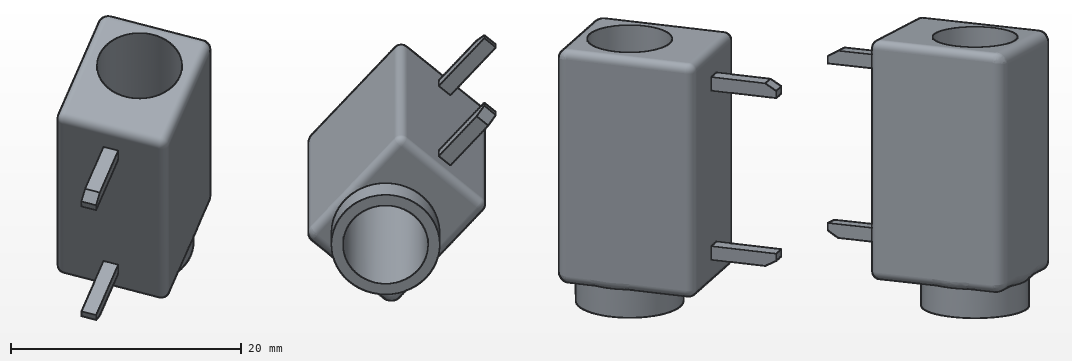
import cadquery as cq

total_height = 24.0
total_depth = 18.8

housing_width = 10.2
housing_height = 21.4
pin_length = 6.0
housing_depth = total_depth - pin_length
edge_radius = 0.75
back_edge_radius = 1.0

spigot_diameter = 9.4
bore_diameter = 7.4
axis_y = -5.02
spigot_height = total_height - housing_height

pin_width = 1.35
pin_thickness = 5.2
pin_slope_length = 1.0
pin_slope_drop = 2.4
pin_spacing = 15.5
upper_pin_z = 20.98
lower_pin_z = upper_pin_z - pin_spacing


def housing_with_spigot():
    block = (
        cq.Workplane("XY", origin=(0, -housing_depth / 2, spigot_height))
        .box(housing_width, housing_depth, housing_height, centered=(True, True, False))
    )
    spigot = (
        cq.Workplane("XY", origin=(0, axis_y, 0))
        .circle(spigot_diameter / 2)
        .extrude(spigot_height)
    )
    return (
        block.union(spigot)
        .faces(">Y").edges().fillet(back_edge_radius)
        .edges("|Y").fillet(edge_radius)
        .faces("<Y").edges().fillet(edge_radius)
    )


def pin(center_z, outward):
    """Pin with its tip sloped on the upper (outward = 1) or lower (outward = -1) side."""
    outer_z = center_z + outward * pin_thickness / 2
    inner_z = center_z - outward * pin_thickness / 2
    profile = [
        (-housing_depth, inner_z),
        (-total_depth, inner_z),
        (-total_depth, outer_z - outward * pin_slope_drop),
        (-total_depth + pin_slope_length, outer_z),
        (-housing_depth, outer_z),
    ]
    return cq.Workplane("YZ").polyline(profile).close().extrude(pin_width / 2, both=True)


def bore():
    return (
        cq.Workplane("XY", origin=(0, axis_y, 0))
        .circle(bore_diameter / 2)
        .extrude(total_height)
    )


result = (
    housing_with_spigot()
    .cut(bore())
    .union(pin(upper_pin_z, 0.25))
    .union(pin(lower_pin_z, -0.25))
)